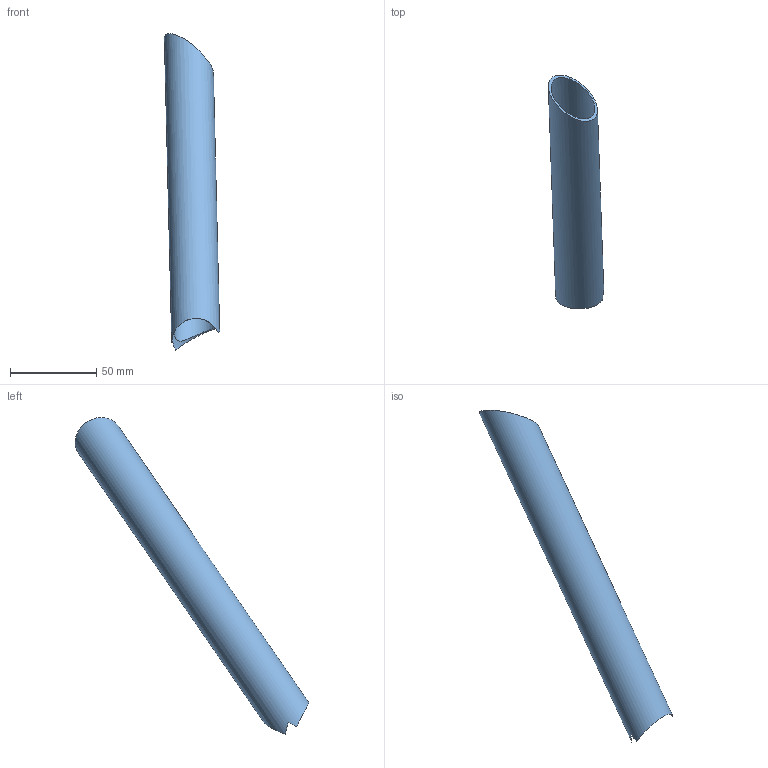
import cadquery as cq

TUBE_DIAMETER = 28.0
WALL = 1.5
BORE_DIAMETER = TUBE_DIAMETER - 2 * WALL

ORIGIN = cq.Vector(0, 0, 0)
TUBE_AXIS = cq.Vector(-0.0242, 0.689, 1.0).normalized()
TUBE_LENGTH = 202.2
END_CUT_NORMAL = cq.Vector(0.6385, 0.4169, 0.608).normalized()

PIPE_DIAMETER = TUBE_DIAMETER
FRONT_ARM = cq.Vector(0.018, -1.0, 0.0).normalized()
REAR_ARM = cq.Vector(0.5035, 0.7115, -0.341).normalized()

OVERRUN = 2 * TUBE_DIAMETER
CUTTER_REACH = 4 * TUBE_DIAMETER


def rod(diameter, start, direction, length):
    """Solid cylinder from start along direction."""
    plane = cq.Plane(origin=start, normal=direction)
    return cq.Workplane(plane).circle(diameter / 2).extrude(length)


def block_beyond(point, normal):
    """Block on the normal side of a plane, large enough to trim a tube end."""
    plane = cq.Plane(origin=point, normal=normal)
    return cq.Workplane(plane).rect(2 * CUTTER_REACH, 2 * CUTTER_REACH).extrude(CUTTER_REACH)


def blank_tube():
    """Plain tube, longer than the part at both ends."""
    start = TUBE_AXIS * -OVERRUN
    length = TUBE_LENGTH + 2 * OVERRUN
    outside = rod(TUBE_DIAMETER, start, TUBE_AXIS, length)
    bore = rod(BORE_DIAMETER, start, TUBE_AXIS, length)
    return outside.cut(bore)


def pipe_arm(direction, other_direction):
    """One solid arm of the bent pipe, mitred against the other arm at the origin."""
    arm = rod(PIPE_DIAMETER, direction * -OVERRUN, direction, OVERRUN + CUTTER_REACH)
    return arm.cut(block_beyond(ORIGIN, other_direction - direction))


def cut_upper_end(tube):
    """Slanted flat cut across the upper end."""
    return tube.cut(block_beyond(TUBE_AXIS * TUBE_LENGTH, END_CUT_NORMAL))


def cope_lower_end(tube):
    """Remove the bent pipe, which splits the tube, and keep the piece above it."""
    tube = tube.cut(pipe_arm(FRONT_ARM, REAR_ARM))
    tube = tube.cut(pipe_arm(REAR_ARM, FRONT_ARM))
    return tube.solids(">Z")


trimmed_tube = cut_upper_end(blank_tube())
result = cq.Workplane(cope_lower_end(trimmed_tube).val())